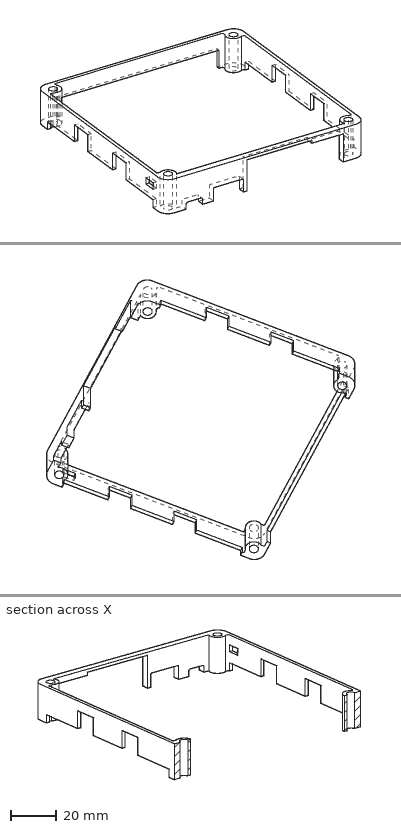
import cadquery as cq

side = 105.0
height = 17.0
half = side / 2
corner_radius = 5.0
wall = 1.8
thick_wall = 3.5
overcut = 1.0
match_tolerance = 0.01

post_inset = 5.5
post_radius = 3.8
hole_diameter = 4.0
web_reach = 8.6
web_fillet = 0.5

foot_gap_half = 43.2
foot_gap_top = 3.9
notch_center = 15.6
notch_width = 10.9
opening_top = 12.3
window_start = 37.5
window_end = 43.3
window_bottom = 9.1

left_gap_start = -41.1
left_gap_end = 41.9
left_gap_top = 9.0

port_start = -41.1
port_end = -32.4
port_top = 3.4
port_fillet = 0.8
slot_start = -26.8
slot_end = -11.1
slot_top = 6.6
slot_fillet = 0.5
tall_gap_start = -9.2
tall_gap_end = 24.6
tall_gap_top = height - 1.5
shallow_gap_end = 41.0
shallow_gap_top = height - 2.9


def box_between(x0, x1, y0, y1, z0, z1):
    return cq.Workplane("XY").box(x1 - x0, y1 - y0, z1 - z0, centered=False).translate((x0, y0, z0))


def corner_post(sign_x, sign_y):
    """Round post with two webs that tie it into the walls."""
    center_x = sign_x * (half - post_inset)
    center_y = sign_y * (half - post_inset)
    post = cq.Workplane("XY").center(center_x, center_y).circle(post_radius).extrude(height)
    for reach_x, reach_y in [(web_reach, post_inset), (post_inset, web_reach)]:
        web = (
            cq.Workplane("XY")
            .center(sign_x * (half - reach_x / 2), sign_y * (half - reach_y / 2))
            .rect(reach_x, reach_y)
            .extrude(height)
        )
        post = post.union(web)
    return post


def is_web_corner(edge):
    """True for the inside corners where a web meets a wall."""
    middle = edge.Center()
    inner_x = half - (thick_wall if middle.x > 0 else wall)
    at_x_wall = abs(abs(middle.x) - inner_x) < match_tolerance
    at_y_wall = abs(abs(middle.y) - (half - wall)) < match_tolerance
    at_web_x = abs(abs(middle.x) - (half - web_reach)) < match_tolerance
    at_web_y = abs(abs(middle.y) - (half - web_reach)) < match_tolerance
    return (at_x_wall and at_web_y) or (at_y_wall and at_web_x)


def frame():
    outer = cq.Workplane("XY").rect(side, side).extrude(height).edges("|Z").fillet(corner_radius)
    interior = box_between(-half + wall, half - thick_wall, -half + wall, half - wall, 0, height)
    posts = [(sign_x, sign_y) for sign_x in (-1, 1) for sign_y in (-1, 1)]
    for sign_x, sign_y in posts:
        interior = interior.cut(corner_post(sign_x, sign_y))
    web_corners = [edge for edge in interior.edges("|Z").vals() if is_web_corner(edge)]
    interior = interior.newObject(web_corners).fillet(web_fillet)
    holes = (
        cq.Workplane("XY")
        .rect(side - 2 * post_inset, side - 2 * post_inset, forConstruction=True)
        .vertices()
        .circle(hole_diameter / 2)
        .extrude(height)
    )
    return outer.cut(interior).cut(holes)


def front_and_back_cut(x0, x1, top):
    """Open-bottomed gap through both the -Y and +Y walls."""
    return box_between(x0, x1, -half - overcut, half + overcut, -overcut, top)


def right_wall_cut(y0, y1, top):
    """Open-bottomed gap through the +X wall."""
    return box_between(half - thick_wall - overcut, half + overcut, y0, y1, -overcut, top)


result = frame()

result = result.cut(front_and_back_cut(-foot_gap_half, foot_gap_half, foot_gap_top))
for x in (-notch_center, notch_center):
    result = result.cut(front_and_back_cut(x - notch_width / 2, x + notch_width / 2, opening_top))

result = result.cut(
    box_between(window_start, window_end, -half - overcut, -half + wall, window_bottom, opening_top)
)

result = result.cut(
    box_between(-half - overcut, -half + wall + overcut, left_gap_start, left_gap_end, -overcut, left_gap_top)
)

result = result.cut(right_wall_cut(port_start, port_end, port_top).edges("|X and >Z").fillet(port_fillet))
result = result.cut(right_wall_cut(slot_start, slot_end, slot_top).edges("|X and >Z").fillet(slot_fillet))
result = result.cut(right_wall_cut(tall_gap_start, tall_gap_end, tall_gap_top))
result = result.cut(right_wall_cut(tall_gap_end, shallow_gap_end, shallow_gap_top))